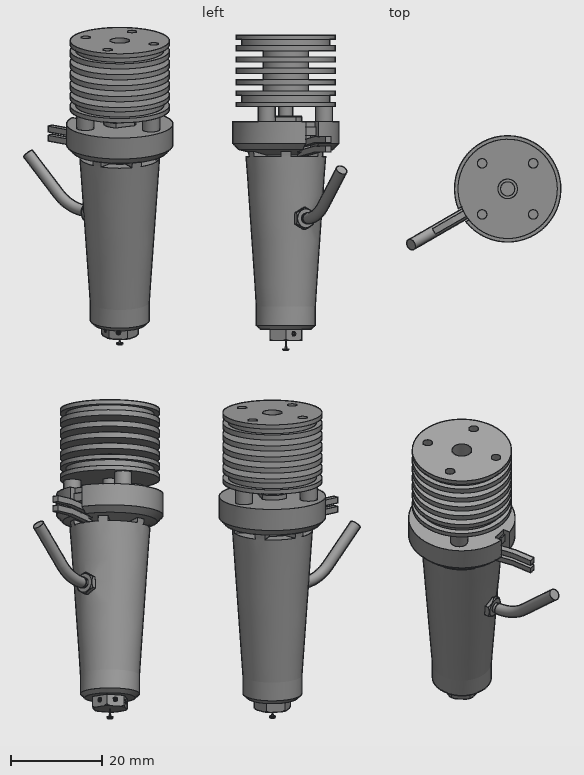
import cadquery as cq
import math

total_height = 69.25
shoulder_z = 42.6
taper_end_z = 9.6
body_chamfer_z = 5.55
body_bottom_z = 4.65
hex_bottom_z = 2.15
cap_top_z = 50.3
cap_chamfer_z = 45.5
cap_underside_z = 44.1
cap_inner_z = 42.9

fin_diameter = 21.8
ring_diameter = 19.4
hub_diameter = 10.0
fin_count = 6
fin_pitch = 2.5
lowest_fin_top_z = 54.5
thin_fin = 1.0
thin_fin_count = 2
thick_fin = 1.2
bore_diameter = 4.3
screw_hole_diameter = 2.1
screw_hole_offset = 5.6

post_diameter = 3.8
post_circle_radius = 8.4
post_angles = (30, 150, 270)
rod_diameter = 3.1
rod_nut_diameter = 7.05
rod_nut_width = 5.5
rod_nut_height = 1.25
rod_nut_chamfer = 0.2

cap_radius = 11.7
cap_underside_radius = 10.4
window_core_radius = 5.55

shoulder_radius = 8.8
body_radius = 6.5
body_bottom_radius = 5.55
rib_count = 6
rib_width = 2.2

hex_across_flats = 7.05
hex_bottom_radius = 3.75
port_diameter = 1.0
port_depth = 0.55
port_z = 3.7
port_face_angles = (210, 270, 330)
pin_diameter = 0.4

tip_diameter = 1.4
tip_bottom_diameter = 1.0
tip_taper_height = 0.2
tip_height = 0.35
tip_pin_top_z = 0.75
stem_diameter = 0.2

side_angle = 210
slot_width = 3.25
slot_upper_back = 10.0
slot_middle_back = 10.3
slot_lower_back = 7.95
slot_upper_step_z = 49.0
slot_lower_step_z = 47.15

prong_width = 1.4
prong_thickness = 1.3
prong_end = 18.7
prong_bend = 13.85
prong_root = 6.2
prong_slope = 8
prong_bottoms_z = (43.55, 45.65)

tube_z = 29.0
tube_diameter = 2.5
tube_bend_radius = 10.0
tube_bend_angle = 44
tube_bend_start = 9.5
tube_end = 24.5
gland_across_flats = 4.3
gland_face = 8.8
gland_face_radius = 2.1
collar_diameter = 2.2


def cylinder(diameter, bottom_z, top_z, x=0, y=0):
    disc = cq.Workplane("XY", origin=(x, y, bottom_z)).circle(diameter / 2)
    return disc.extrude(top_z - bottom_z)


def revolved(outline):
    """Turn a (radius, height) outline about the Z axis."""
    return cq.Workplane("XZ").polyline(outline).close().revolve(360, (0, 0, 0), (0, 1, 0))


def across_corners(across_flats):
    """Corner-to-corner size of a hexagon."""
    return across_flats / math.cos(math.radians(30))


def turned_to_side(shape):
    """Swing a feature built along +X round to the side angle."""
    return shape.rotate((0, 0, 0), (0, 0, 1), side_angle)


def radial_block(inner, outer, width, bottom_z, top_z):
    block = cq.Workplane("XY", origin=(inner, 0, bottom_z))
    return block.box(outer - inner, width, top_z - bottom_z, centered=(False, True, False))


def make_finned_stack():
    stack_bottom_z = lowest_fin_top_z - thin_fin
    lower_ring_top_z = lowest_fin_top_z + fin_pitch
    upper_ring_bottom_z = lowest_fin_top_z + (fin_count - 1) * fin_pitch

    stack = cylinder(hub_diameter, stack_bottom_z, total_height)
    stack = stack.union(cylinder(ring_diameter, stack_bottom_z, lower_ring_top_z))
    stack = stack.union(cylinder(ring_diameter, upper_ring_bottom_z, total_height))
    for index in range(fin_count):
        top_z = lowest_fin_top_z + index * fin_pitch
        thickness = thin_fin if index < thin_fin_count else thick_fin
        stack = stack.union(cylinder(fin_diameter, top_z - thickness, top_z))
    stack = stack.union(cylinder(fin_diameter, total_height - thin_fin, total_height))

    stack = stack.cut(cylinder(bore_diameter, lowest_fin_top_z, total_height))
    for x in (-screw_hole_offset, screw_hole_offset):
        for y in (-screw_hole_offset, screw_hole_offset):
            stack = stack.cut(cylinder(screw_hole_diameter, upper_ring_bottom_z, total_height, x, y))
    return stack


def make_posts_and_rod():
    stack_bottom_z = lowest_fin_top_z - thin_fin
    supports = cylinder(rod_diameter, cap_top_z, lowest_fin_top_z + fin_pitch)
    for angle in post_angles:
        x = post_circle_radius * math.cos(math.radians(angle))
        y = post_circle_radius * math.sin(math.radians(angle))
        supports = supports.union(cylinder(post_diameter, cap_top_z, stack_bottom_z, x, y))

    nut = cylinder(rod_nut_diameter, cap_top_z, cap_top_z + rod_nut_height)
    flats = cq.Workplane("XY", origin=(0, 0, cap_top_z))
    flats = flats.box(rod_nut_width, rod_nut_diameter, rod_nut_height, centered=(True, True, False))
    nut = nut.intersect(flats).faces(">Z").chamfer(rod_nut_chamfer)
    return supports.union(nut)


def make_cap():
    cap = revolved([
        (0, cap_inner_z),
        (window_core_radius, cap_inner_z),
        (cap_underside_radius, cap_underside_z),
        (cap_radius, cap_chamfer_z),
        (cap_radius, cap_top_z),
        (0, cap_top_z),
    ])
    slot_steps = (
        (slot_upper_back, slot_upper_step_z, cap_top_z),
        (slot_middle_back, slot_lower_step_z, slot_upper_step_z),
        (slot_lower_back, shoulder_z, slot_lower_step_z),
    )
    for back, bottom_z, top_z in slot_steps:
        step = radial_block(back, cap_radius, slot_width, bottom_z, top_z)
        cap = cap.cut(turned_to_side(step))
    return cap


def make_body():
    taper = (shoulder_radius - body_radius) / (shoulder_z - taper_end_z)
    rib_top_radius = shoulder_radius + taper * (cap_underside_z - shoulder_z)
    body = revolved([
        (0, body_bottom_z),
        (body_bottom_radius, body_bottom_z),
        (body_radius, body_chamfer_z),
        (body_radius, taper_end_z),
        (rib_top_radius, cap_underside_z),
        (0, cap_underside_z),
    ])
    windows = cylinder(2 * cap_radius, shoulder_z, cap_underside_z)
    windows = windows.cut(cylinder(2 * window_core_radius, shoulder_z, cap_underside_z))
    for index in range(rib_count):
        rib = radial_block(0, 2 * cap_radius, rib_width, shoulder_z, cap_underside_z)
        windows = windows.cut(rib.rotate((0, 0, 0), (0, 0, 1), index * 360 / rib_count))
    return body.cut(windows)


def make_hex_end():
    height = body_bottom_z - hex_bottom_z
    end = cq.Workplane("XY", origin=(0, 0, hex_bottom_z))
    end = end.polygon(6, across_corners(hex_across_flats)).extrude(height)
    chamfer_envelope = revolved([
        (0, hex_bottom_z),
        (hex_bottom_radius, hex_bottom_z),
        (hex_bottom_radius + height, body_bottom_z),
        (0, body_bottom_z),
    ])
    end = end.intersect(chamfer_envelope)

    port_plane = cq.Workplane("YZ", origin=(hex_across_flats / 2, 0, port_z))
    port = port_plane.circle(port_diameter / 2).circle(pin_diameter / 2).extrude(-port_depth)
    for angle in port_face_angles:
        end = end.cut(port.rotate((0, 0, 0), (0, 0, 1), angle))
    return end


def make_tip():
    tip = revolved([
        (0, 0),
        (tip_bottom_diameter / 2, 0),
        (tip_diameter / 2, tip_taper_height),
        (tip_diameter / 2, tip_height),
        (0, tip_height),
    ])
    tip = tip.union(cylinder(pin_diameter, tip_height, tip_pin_top_z))
    return tip.union(cylinder(stem_diameter, tip_pin_top_z, hex_bottom_z))


def make_prongs():
    drop = (prong_bend - prong_root) * math.tan(math.radians(prong_slope))
    prongs = cq.Workplane("XY")
    for bottom_z in prong_bottoms_z:
        top_z = bottom_z + prong_thickness
        outline = cq.Workplane("XZ").polyline([
            (prong_root, bottom_z - drop),
            (prong_bend, bottom_z),
            (prong_end, bottom_z),
            (prong_end, top_z),
            (prong_bend, top_z),
            (prong_root, top_z - drop),
        ]).close()
        prongs = prongs.union(outline.extrude(prong_width / 2, both=True))
    return turned_to_side(prongs)


def make_tube():
    bend = math.radians(tube_bend_angle)
    bend_end = tube_bend_start + tube_bend_radius * math.sin(bend)
    bend_end_z = tube_z + tube_bend_radius * (1 - math.cos(bend))
    end_z = bend_end_z + (tube_end - bend_end) * math.tan(bend)
    path = (
        cq.Workplane("XZ")
        .moveTo(tube_bend_start, tube_z)
        .radiusArc((bend_end, bend_end_z), -tube_bend_radius)
        .lineTo(tube_end, end_z)
    )
    start = cq.Workplane("YZ", origin=(tube_bend_start, 0, tube_z))
    tube = start.circle(tube_diameter / 2).sweep(path)

    axis_plane = cq.Workplane("YZ", origin=(0, 0, tube_z))
    collar = axis_plane.circle(collar_diameter / 2).extrude(tube_bend_start)
    gland = axis_plane.transformed(rotate=(0, 0, 90))
    gland = gland.polygon(6, across_corners(gland_across_flats)).extrude(gland_face)
    cone_base_radius = gland_face_radius + gland_face
    cone = cq.Solid.makeCone(
        cone_base_radius, gland_face_radius, gland_face, cq.Vector(0, 0, tube_z), cq.Vector(1, 0, 0)
    )
    gland = gland.intersect(cq.Workplane(cone))
    return turned_to_side(tube.union(collar).union(gland))


result = (
    make_body()
    .union(make_cap())
    .union(make_posts_and_rod())
    .union(make_finned_stack())
    .union(make_hex_end())
    .union(make_tip())
    .union(make_prongs())
    .union(make_tube())
)